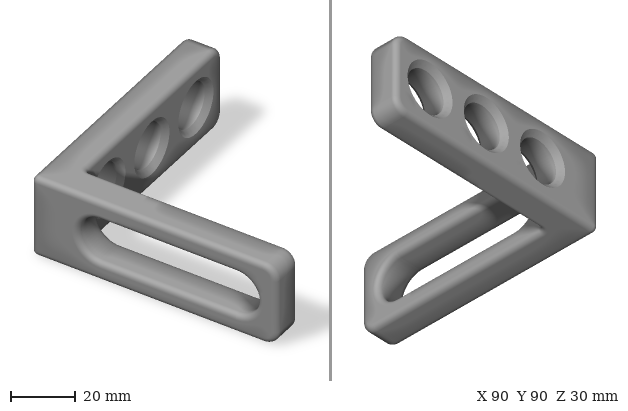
import cadquery as cq

leg_length = 90.0
leg_height = 30.0
leg_thickness = 12.0
edge_radius = 2.0
end_corner_radius = 5.0

opening_width = 16.0
mouth_size = 2.0
hole_count = 3
hole_pitch = 25.0
end_hole_inset = 15.0
slot_start = 25.0
slot_end = 75.0

mid_height = leg_height / 2
selection_margin = 0.01


def box_around(low, high, whole_inside=False):
    """Selector for a box slightly larger than the given corners."""
    return cq.selectors.BoxSelector(
        [value - selection_margin for value in low],
        [value + selection_margin for value in high],
        boundingbox=whole_inside,
    )


def bracket_body():
    """L-shaped bracket with rounded leg ends and rounded edges all over."""
    body = (
        cq.Workplane("XY")
        .polyline([
            (0, 0),
            (leg_length, 0),
            (leg_length, leg_thickness),
            (leg_thickness, leg_thickness),
            (leg_thickness, leg_length),
            (0, leg_length),
        ])
        .close()
        .extrude(leg_height)
    )

    inside_corner = box_around(
        (leg_thickness, leg_thickness, 0),
        (leg_thickness, leg_thickness, leg_height),
    )
    body = body.edges(inside_corner).fillet(edge_radius)

    body = body.faces(">X").edges("|Y").fillet(end_corner_radius)
    body = body.faces(">Y").edges("|X").fillet(end_corner_radius)

    body = body.faces("<X or <Y").edges().fillet(edge_radius)
    inner_faces = box_around(
        (leg_thickness, leg_thickness, 0),
        (leg_length, leg_length, leg_height),
        whole_inside=True,
    )
    return body.faces(inner_faces).edges().fillet(edge_radius)


def add_holes(body):
    """Row of holes through the Y leg, chamfered on both sides."""
    far_hole = leg_length - end_hole_inset
    near_hole = far_hole - (hole_count - 1) * hole_pitch
    hole_centres = [(near_hole + i * hole_pitch, mid_height) for i in range(hole_count)]
    cutter = (
        cq.Workplane("YZ")
        .pushPoints(hole_centres)
        .circle(opening_width / 2)
        .extrude(leg_thickness)
    )
    body = body.cut(cutter)
    for face_x in (0, leg_thickness):
        rims = box_around(
            (face_x, near_hole - opening_width / 2, mid_height - opening_width / 2),
            (face_x, far_hole + opening_width / 2, mid_height + opening_width / 2),
            whole_inside=True,
        )
        body = body.edges(rims).chamfer(mouth_size)
    return body


def add_slot(body):
    """Long slot through the X leg, rounded over on both sides."""
    left = slot_start - opening_width / 2
    right = slot_end + opening_width / 2
    cutter = (
        cq.Workplane("XZ")
        .center((left + right) / 2, mid_height)
        .slot2D(right - left, opening_width)
        .extrude(-leg_thickness)
    )
    body = body.cut(cutter)
    for face_y in (0, leg_thickness):
        rim = box_around(
            (left, face_y, mid_height - opening_width / 2),
            (right, face_y, mid_height + opening_width / 2),
            whole_inside=True,
        )
        body = body.edges(rim).fillet(mouth_size)
    return body


result = add_slot(add_holes(bracket_body()))